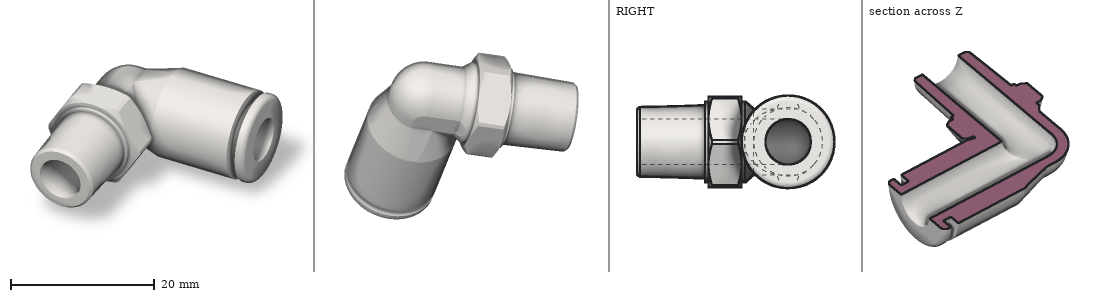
import cadquery as cq
import math

elbow_radius = 4.85
elbow_flat_height = 4.6
bore_radius = 3.17

cone_start = math.sqrt(elbow_radius**2 - elbow_flat_height**2)
body_start = 6.8
body_end = 18.57
body_radius = 6.47
neck_radius = 4.78
ring_start = 19.85
arm_end = 21.12
ring_fillet = 0.75

collar_start = 4.8
collar_full = 6.0
collar_radius = 5.65
hex_start = 6.5
hex_end = 11.1
hex_across_flats = 12.66
hex_corner_radius = 7.15
hex_chamfer_angle = 30
flange_end = 11.62
thread_root_radius = 5.15
thread_tip_radius = 4.9
thread_chamfer_start = 20.7
thread_end = 21.1
thread_end_radius = 4.52


def revolve_along_x(points):
    """Revolve (distance, radius) points about the X axis."""
    closed = [(points[0][0], 0)] + points + [(points[-1][0], 0)]
    return cq.Workplane("XY").polyline(closed).close().revolve(360, (0, 0), (1, 0))


def flattened(solid, heights, width):
    """Trim a solid along X to (distance, half height) points, above and below."""
    lower = [(x, -z) for x, z in reversed(heights)]
    envelope = cq.Workplane("XZ").polyline(heights + lower).close().extrude(width, both=True)
    return solid.intersect(envelope)


def turn_to_stem(solid):
    """Turn a solid built along +X so that it points along -Y."""
    return solid.rotate((0, 0, 0), (0, 0, 1), -90)


def make_arm():
    outline = [
        (0, elbow_radius),
        (cone_start, elbow_radius),
        (body_start, body_radius),
        (body_end, body_radius),
        (body_end, neck_radius),
        (ring_start, neck_radius),
        (ring_start, body_radius),
        (arm_end, body_radius),
    ]
    arm = revolve_along_x(outline).faces(">X").edges().fillet(ring_fillet)
    heights = [
        (0, elbow_flat_height),
        (cone_start, elbow_flat_height),
        (body_start, body_radius),
        (arm_end, body_radius),
    ]
    return flattened(arm, heights, body_radius)


def make_stem():
    outline = [
        (0, elbow_radius),
        (collar_start, elbow_radius),
        (collar_full, collar_radius),
        (flange_end, collar_radius),
        (flange_end, thread_root_radius),
        (thread_chamfer_start, thread_tip_radius),
        (thread_end, thread_end_radius),
    ]
    heights = [
        (0, elbow_flat_height),
        (collar_start, elbow_flat_height),
        (collar_full, collar_radius),
        (thread_end, collar_radius),
    ]
    return turn_to_stem(flattened(revolve_along_x(outline), heights, collar_radius))


def make_corner():
    ball = cq.Workplane("XY").sphere(elbow_radius)
    slab = cq.Workplane("XY").box(2 * elbow_radius, 2 * elbow_radius, 2 * elbow_flat_height)
    return ball.intersect(slab)


def make_hex():
    """Hexagon with flats facing +Z and -Z and its corners turned and chamfered."""
    inscribed_radius = hex_across_flats / 2
    across_corners = hex_across_flats / math.cos(math.radians(30))
    prism = (
        cq.Workplane("XZ", origin=(0, -hex_start, 0))
        .polygon(6, across_corners)
        .extrude(hex_end - hex_start)
    )
    chamfer_width = hex_corner_radius - inscribed_radius
    chamfer_length = chamfer_width * math.tan(math.radians(hex_chamfer_angle))
    turned = revolve_along_x([
        (hex_start, inscribed_radius),
        (hex_start + chamfer_length, hex_corner_radius),
        (hex_end - chamfer_length, hex_corner_radius),
        (hex_end, inscribed_radius),
    ])
    return prism.intersect(turn_to_stem(turned))


def make_bore():
    """Right-angle passage through both ends, with a rounded corner."""
    arm_bore = revolve_along_x([(0, bore_radius), (arm_end, bore_radius)])
    stem_bore = turn_to_stem(revolve_along_x([(0, bore_radius), (thread_end, bore_radius)]))
    return arm_bore.union(stem_bore).union(cq.Workplane("XY").sphere(bore_radius))


outside = make_arm().union(make_stem()).union(make_corner()).union(make_hex())
result = outside.cut(make_bore())